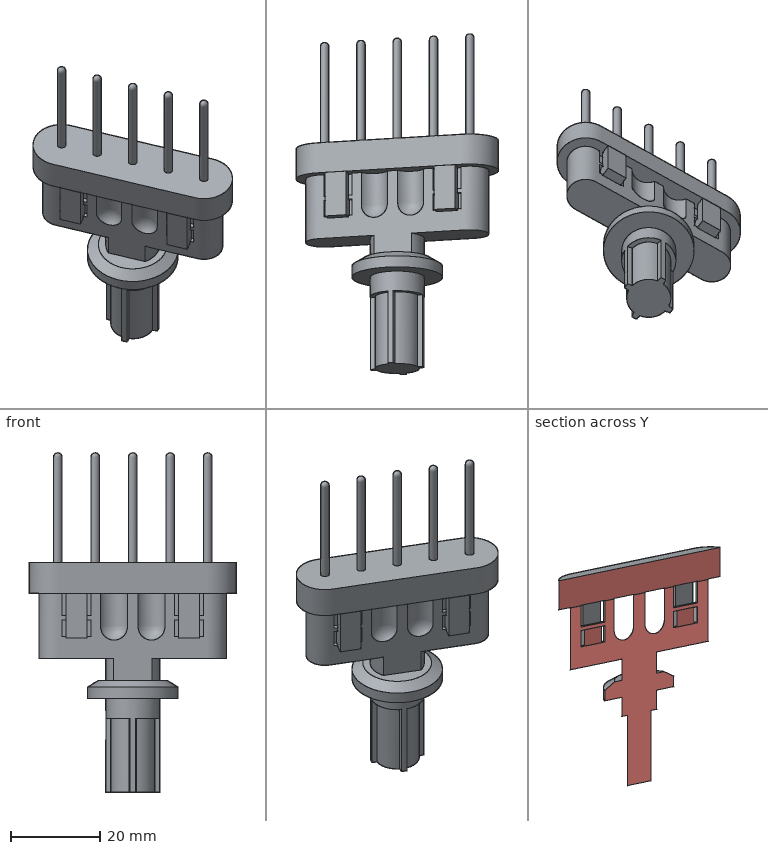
import cadquery as cq
import math

pitch = 8.4
pin_count = 5
row_length = (pin_count - 1) * pitch
pin_positions = [(i * pitch - row_length / 2, 0) for i in range(pin_count)]

rib_top = 16.5
flange_bottom = 21.0
flange_chamfer_bottom = 23.55
flange_top = 25.1
body_bottom = 29.96
body_top = 44.6
cap_top = 51.53
pin_top = 76.09

body_thickness = 8.5
shaft_diameter = 12.15
core_diameter = 9.9
rib_count = 4
rib_root_width = 1.6
rib_tip_width = 1.25
flange_diameter = 20.32
flange_top_diameter = 15.4

groove_half_width = 3.0
groove_depth = 1.7
groove_end_height = 37.1

latch_spacing = 3 * pitch
window_width = 6.4
window_depth = 1.0
window_bottom = 34.95
bar_bottom = 38.65
bar_height = 0.95

cap_thickness = 12.84
arm_width = 4.8
arm_bottom = 34.55
arm_overhang = 0.06

pin_diameter = 1.94

body_face = body_thickness / 2
window_floor = body_face - window_depth
groove_radius = (groove_half_width**2 + groove_depth**2) / (2 * groove_depth)
groove_axis = body_face + groove_radius - groove_depth
arm_face = cap_thickness / 2 + arm_overhang
latch_sites = [(x, side) for x in (-latch_spacing / 2, latch_spacing / 2) for side in (-1, 1)]


def block(width, x, y_inner, y_outer, side, z_bottom, z_top):
    """Block centred on x that lies between two distances from the XZ plane, on one side of it."""
    depth = y_outer - y_inner
    y_middle = side * (y_inner + y_outer) / 2
    size = (width, depth, z_top - z_bottom)
    return cq.Workplane().box(*size, centered=(True, True, False)).translate((x, y_middle, z_bottom))


def stadium(thickness, z_bottom, z_top):
    """Plate with round ends centred on the two outer pins."""
    plane = cq.Workplane().workplane(offset=z_bottom)
    return plane.slot2D(row_length + thickness, thickness).extrude(z_top - z_bottom)


def cylinder(diameter, z_bottom, z_top):
    return cq.Workplane().workplane(offset=z_bottom).circle(diameter / 2).extrude(z_top - z_bottom)


def make_rib():
    """Rib along +X that narrows from the core to the shaft diameter, with a tip rounded to the shaft."""
    root_x = core_diameter / 2
    tip_x = shaft_diameter / 2
    tip_side_x = math.sqrt(tip_x**2 - (rib_tip_width / 2) ** 2)
    return (
        cq.Workplane()
        .lineTo(root_x, -rib_root_width / 2)
        .lineTo(tip_side_x, -rib_tip_width / 2)
        .threePointArc((tip_x, 0), (tip_side_x, rib_tip_width / 2))
        .lineTo(root_x, rib_root_width / 2)
        .close()
        .extrude(rib_top)
    )


def make_shaft():
    """Core with four ribs, a plain collar and a chamfered flange."""
    shaft = cylinder(core_diameter, 0, rib_top)
    for i in range(rib_count):
        shaft = shaft.union(make_rib().rotate((0, 0, 0), (0, 0, 1), i * 360 / rib_count))
    flange = (
        cq.Workplane("XZ")
        .moveTo(0, flange_bottom)
        .lineTo(flange_diameter / 2, flange_bottom)
        .lineTo(flange_diameter / 2, flange_chamfer_bottom)
        .lineTo(flange_top_diameter / 2, flange_top)
        .lineTo(0, flange_top)
        .close()
        .revolve(360, (0, 0, 0), (0, 1, 0))
    )
    collar = cylinder(shaft_diameter, rib_top, flange_bottom)
    return shaft.union(collar).union(flange)


def make_neck():
    """Round neck flattened to the thickness of the body."""
    slab = cq.Workplane().box(shaft_diameter, body_thickness, 2 * body_bottom)
    return cylinder(shaft_diameter, flange_top, body_bottom).intersect(slab)


def make_groove(x, side):
    groove = cylinder(2 * groove_radius, groove_end_height, body_top)
    end = cq.Workplane().sphere(groove_radius).translate((0, 0, groove_end_height))
    return groove.union(end).translate((x, side * groove_axis, 0))


def make_body():
    body = stadium(body_thickness, body_bottom, body_top).union(make_neck()).union(make_shaft())
    for x in (-pitch / 2, pitch / 2):
        for side in (-1, 1):
            body = body.cut(make_groove(x, side))
    for x, side in latch_sites:
        for bottom, top in ((window_bottom, bar_bottom), (bar_bottom + bar_height, body_top)):
            body = body.cut(block(window_width, x, window_floor, body_face, side, bottom, top))
    return body


def make_cap():
    """Cap with pin holes and four arms whose hooks catch under the bars of the body."""
    cap = stadium(cap_thickness, body_top, cap_top)
    for x, side in latch_sites:
        cap = cap.union(block(arm_width, x, body_face, arm_face, side, arm_bottom, body_top))
        cap = cap.union(block(arm_width, x, window_floor, body_face, side, window_bottom, bar_bottom))
    holes = cq.Workplane().workplane(offset=body_top).pushPoints(pin_positions)
    return cap.cut(holes.circle(pin_diameter / 2).extrude(cap_top - body_top))


def make_pin(x, y):
    """Round pin with a domed tip, standing on the body."""
    radius = pin_diameter / 2
    pin = cylinder(pin_diameter, body_top, pin_top - radius)
    tip = cq.Workplane().sphere(radius).translate((0, 0, pin_top - radius))
    return pin.union(tip).translate((x, y, 0))


body = make_body()
cap = make_cap()
pins = [make_pin(x, y).val() for x, y in pin_positions]

result = cq.Compound.makeCompound([body.val(), cap.val(), *pins])